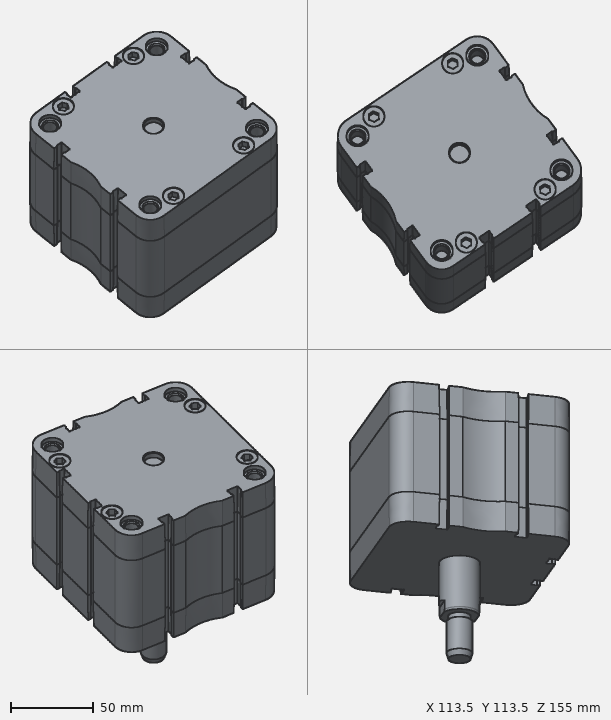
import cadquery as cq
import math


body_width = 113.5
half_width = body_width / 2
corner_radius = 12.2
body_height = 92.0
cap_height = 19.6
barrel_height = body_height - 2 * cap_height
cap_draft = 0.7

hollow_half_width = 13.3
hollow_depth = 2.7

mouth_width = 6.0
pocket_width = 7.0
y_side_groove_offset = 25.0
y_side_mouth_depth = 3.0
y_side_groove_depth = 6.7
x_side_groove_offset = 17.5
x_side_mouth_depth = 2.4
x_side_groove_depth = 5.7

mounting_offset = 44.5
counterbore_diameter = 13.5
counterbore_depth = 3.0
thread_core_diameter = 8.38
thread_countersink_diameter = 10.11
mounting_hole_depth = 15.0

screw_x = 48.9
screw_y = 29.3
recess_top_diameter = 13.1
recess_floor_diameter = 12.7
recess_depth = 0.5
socket_across_flats = 6.0
socket_depth = 5.0

centring_diameter = 12.0
centring_depth = 4.0
centring_chamfer = 0.5

rod_diameter = 25.0
shoulder_length = 35.0
shoulder_chamfer_radial = 0.45
shoulder_chamfer_length = 1.6
wrench_width = 22.0
wrench_flat_length = 7.0
thread_diameter = 16.0
thread_end = 63.0
thread_tip_diameter = 13.6
thread_tip_length = 3.7
undercut_diameter = 14.0
undercut_length = 3.5
undercut_run_out = 0.6


def cut_groove(sketch, direction, place, mouth_depth, groove_depth):
    """Cut one stepped groove into the side that faces direction, a (x, y) unit vector."""
    normal_x, normal_y = direction
    steps = (
        (mouth_width, 0, groove_depth),
        (pocket_width, mouth_depth, groove_depth),
    )
    for width, start, end in steps:
        distance = half_width - (start + end) / 2
        centre = (
            normal_x * distance + abs(normal_y) * place,
            normal_y * distance + abs(normal_x) * place,
        )
        size_x = abs(normal_x) * (end - start) + abs(normal_y) * width
        size_y = abs(normal_y) * (end - start) + abs(normal_x) * width
        sketch.push([centre]).rect(size_x, size_y, mode="s").reset()


def housing_profile():
    """Cross-section shared by the barrel and both caps."""
    profile = cq.Sketch().rect(body_width, body_width).vertices().fillet(corner_radius).reset()
    hollow_radius = (hollow_half_width ** 2 + hollow_depth ** 2) / (2 * hollow_depth)
    hollow_centre = half_width - hollow_depth + hollow_radius
    for side in (-1, 1):
        profile.push([(0, side * hollow_centre)]).circle(hollow_radius, mode="s").reset()
        for place in (-y_side_groove_offset, y_side_groove_offset):
            cut_groove(profile, (0, side), place, y_side_mouth_depth, y_side_groove_depth)
    for place in (-x_side_groove_offset, x_side_groove_offset):
        cut_groove(profile, (-1, 0), place, x_side_mouth_depth, x_side_groove_depth)
    return profile


def four_corners(x, y):
    return [(-x, -y), (x, -y), (-x, y), (x, y)]


def cone_frustum(top_diameter, bottom_diameter, depth):
    """Downward cone frustum with its larger end on Z = 0."""
    profile = cq.Workplane("XZ").polyline([
        (0, 0),
        (top_diameter / 2, 0),
        (bottom_diameter / 2, -depth),
        (0, -depth),
    ])
    return profile.close().revolve(360, (0, 0), (0, 1))


def make_barrel():
    return cq.Workplane(origin=(0, 0, cap_height)).placeSketch(housing_profile()).extrude(barrel_height)


def make_plain_cap():
    """End cap with its barrel face on Z = 0, drafted towards +Z."""
    return cq.Workplane().placeSketch(housing_profile()).extrude(cap_height, taper=cap_draft)


def make_head_cap():
    cap = make_plain_cap().translate((0, 0, body_height - cap_height))
    top = cq.Workplane(origin=(0, 0, body_height))

    mounting_places = four_corners(mounting_offset, mounting_offset)
    mounting = top.pushPoints(mounting_places)
    cap = cap.cut(mounting.circle(counterbore_diameter / 2).extrude(-counterbore_depth))
    cap = cap.cut(mounting.circle(thread_core_diameter / 2).extrude(-mounting_hole_depth))
    countersink_depth = (thread_countersink_diameter - thread_core_diameter) / 2
    countersink = cone_frustum(thread_countersink_diameter, thread_core_diameter, countersink_depth)
    for x, y in mounting_places:
        cap = cap.cut(countersink.translate((x, y, body_height - counterbore_depth)))

    screw_places = four_corners(screw_x, screw_y)
    recess = cone_frustum(recess_top_diameter, recess_floor_diameter, recess_depth)
    for x, y in screw_places:
        cap = cap.cut(recess.translate((x, y, body_height)))
    across_corners = socket_across_flats / math.cos(math.pi / 6)
    socket = cq.Workplane().polygon(6, across_corners).extrude(-socket_depth)
    socket = socket.rotate((0, 0, 0), (0, 0, 1), 90)
    for x, y in screw_places:
        cap = cap.cut(socket.translate((x, y, body_height)))

    cap = cap.cut(top.circle(centring_diameter / 2).extrude(-centring_depth))
    chamfer_top_diameter = centring_diameter + 2 * centring_chamfer
    chamfer = cone_frustum(chamfer_top_diameter, centring_diameter, centring_chamfer)
    return cap.cut(chamfer.translate((0, 0, body_height)))


def make_rod_cap():
    cap = make_plain_cap().mirror("XY").translate((0, 0, cap_height))
    bore = cq.Workplane().circle(rod_diameter / 2).extrude(cap_height)
    return cap.cut(bore)


def make_rod():
    """Rod from the barrel face down to the threaded tip, with two wrench flats facing -X and +X."""
    rod_radius = rod_diameter / 2
    thread_radius = thread_diameter / 2
    undercut_radius = undercut_diameter / 2
    undercut_end = shoulder_length + undercut_length
    rod = cq.Workplane("XZ").polyline([
        (0, cap_height),
        (rod_radius, cap_height),
        (rod_radius, shoulder_chamfer_length - shoulder_length),
        (rod_radius - shoulder_chamfer_radial, -shoulder_length),
        (undercut_radius, -shoulder_length),
        (undercut_radius, undercut_run_out - undercut_end),
        (thread_radius, -undercut_end),
        (thread_radius, thread_tip_length - thread_end),
        (thread_tip_diameter / 2, -thread_end),
        (0, -thread_end),
    ]).close().revolve(360, (0, 0), (0, 1))

    flat_distance = wrench_width / 2
    flat_top = wrench_flat_length - shoulder_length
    run_out = rod_radius - flat_distance
    flat_cut = cq.Workplane("XZ").polyline([
        (flat_distance, -shoulder_length),
        (flat_distance, flat_top),
        (rod_radius, flat_top + run_out),
        (rod_radius, -shoulder_length),
    ]).close().extrude(rod_radius, both=True)
    return rod.cut(flat_cut).cut(flat_cut.mirror("YZ"))


barrel = make_barrel()
head_cap = make_head_cap()
rod_cap = make_rod_cap()
rod = make_rod()

result = cq.Compound.makeCompound([barrel.val(), head_cap.val(), rod_cap.val(), rod.val()])